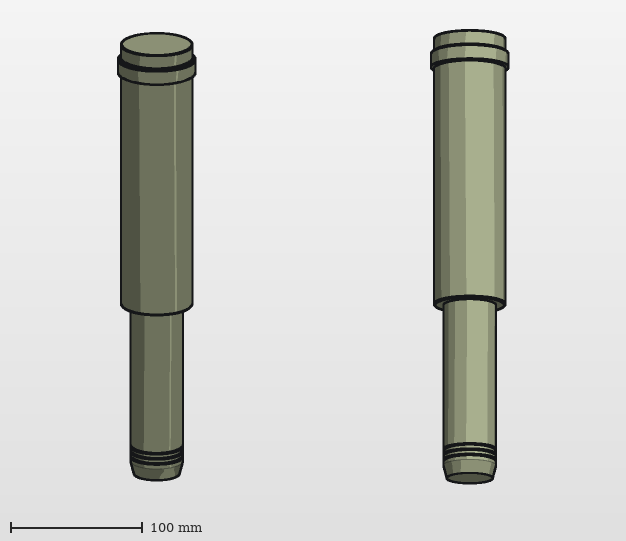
import cadquery as cq

total_length = 343.0
body_bottom = 134.8
collar_bottom = 320.5
collar_top = 331.5

body_diameter = 54.5
collar_diameter = 59.0
rod_diameter = 40.0
tip_diameter = 35.0

body_chamfer = 1.0
top_chamfer = 0.7
collar_chamfer = 0.7
tip_length = 10.0
neck_width = 1.0
neck_depth = 1.0
rod_groove_count = 3
rod_groove_pitch = 4.0
first_rod_groove = 13.5
rod_groove_width = 1.0
rod_groove_depth = 0.7


def cylinder(diameter, bottom, top):
    """Solid cylinder on the Z axis between two heights."""
    return cq.Workplane("XY").workplane(offset=bottom).circle(diameter / 2).extrude(top - bottom)


def groove_cutter(diameter, depth, bottom, width):
    """Ring that cuts a square groove into a shaft of the given diameter."""
    outer = cylinder(diameter + 2 * depth, bottom, bottom + width)
    return outer.cut(cylinder(diameter - 2 * depth, bottom, bottom + width))


body = cylinder(body_diameter, body_bottom, total_length).faces("<Z").chamfer(body_chamfer)
body = body.faces(">Z").chamfer(top_chamfer)

for neck_bottom in (collar_top, collar_bottom - neck_width):
    body = body.cut(groove_cutter(body_diameter, neck_depth, neck_bottom, neck_width))

collar = cylinder(collar_diameter, collar_bottom, collar_top).faces(">Z").chamfer(collar_chamfer)

rod = cylinder(rod_diameter, tip_length, body_bottom)
tip = cq.Workplane("XY").circle(tip_diameter / 2).workplane(offset=tip_length).circle(rod_diameter / 2).loft()
rod = rod.union(tip)

for index in range(rod_groove_count):
    groove_bottom = first_rod_groove + index * rod_groove_pitch
    rod = rod.cut(groove_cutter(rod_diameter, rod_groove_depth, groove_bottom, rod_groove_width))

result = body.union(collar).union(rod)